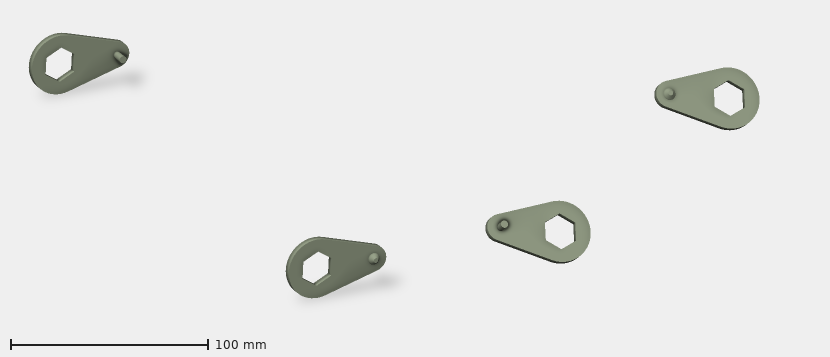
import cadquery as cq
import math

overall_length = 315.0

plate_thickness = 3.8
plate_height = 31.8
large_radius = plate_height / 2
small_radius = 7.0
plate_length = 54.5
center_distance = plate_length - large_radius - small_radius

hex_sides = 6
hex_across_flats = 16.0
hex_tilt = 3.0

pin_diameter = 3.8
pin_length = 7.2
head_diameter = 6.3
head_tip_diameter = 2.5
head_height = 2.5

plate_outer_x = -overall_length / 2 + head_height
plate_inner_x = plate_outer_x + plate_thickness


def make_plate():
    """Plate with its large end centered on the X axis and its small end toward +Y."""
    tangent_angle = math.asin((large_radius - small_radius) / center_distance)
    sine = math.sin(tangent_angle)
    cosine = math.cos(tangent_angle)
    large_tangent = (large_radius * sine, large_radius * cosine)
    small_tangent = (center_distance + small_radius * sine, small_radius * cosine)
    return (
        cq.Workplane("YZ", origin=(plate_outer_x, 0, 0))
        .moveTo(*large_tangent)
        .lineTo(*small_tangent)
        .threePointArc((center_distance + small_radius, 0), (small_tangent[0], -small_tangent[1]))
        .lineTo(large_tangent[0], -large_tangent[1])
        .threePointArc((-large_radius, 0), large_tangent)
        .close()
        .extrude(plate_thickness)
    )


def make_hex_cutter():
    """Hexagonal prism as long as the plate is thick, tilted about the X axis."""
    corner_diameter = hex_across_flats / math.cos(math.pi / hex_sides)
    corner_angle = 90 - hex_tilt
    return (
        cq.Workplane("YZ", origin=(plate_outer_x, 0, 0))
        .transformed(rotate=(0, 0, corner_angle))
        .polygon(hex_sides, corner_diameter)
        .extrude(plate_thickness)
    )


def make_pin():
    """Round pin that stands on the inner face of the plate."""
    return (
        cq.Workplane("YZ", origin=(plate_inner_x, center_distance, 0))
        .circle(pin_diameter / 2)
        .extrude(pin_length)
    )


def make_head():
    """Conical head on the outer face, narrowing to a flat tip."""
    return (
        cq.Workplane("YZ", origin=(-overall_length / 2, center_distance, 0))
        .circle(head_tip_diameter / 2)
        .workplane(offset=head_height)
        .circle(head_diameter / 2)
        .loft(ruled=True)
    )


def make_lever(mirrored):
    """One lever as a single solid: at the -X end, or mirrored to the +X end."""
    lever = make_plate().cut(make_hex_cutter()).union(make_pin()).union(make_head())
    if mirrored:
        lever = lever.mirror("YZ")
    return lever.val()


levers = [make_lever(mirrored) for mirrored in (False, True)]

result = cq.Compound.makeCompound(levers)